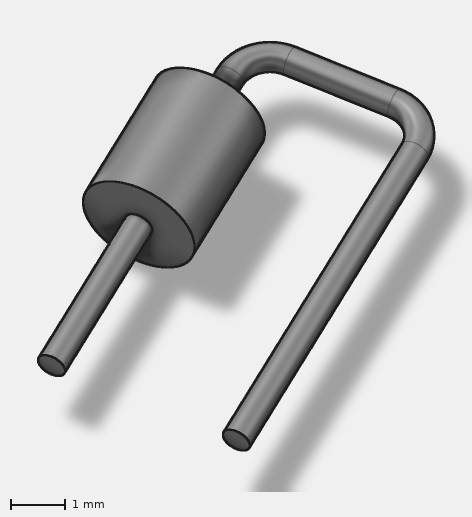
import cadquery as cq

wire_diameter = 0.56
lead_spacing = 3.81
total_length = 8.47
bend_radius = 0.83

body_diameter = 2.3
body_start = 3.6
body_length = 2.905

crossbar_y = total_length - wire_diameter / 2
bend_start_y = crossbar_y - bend_radius


def folded_lead():
    """Wire running up the body axis, across, and back down beside the body."""
    path = (
        cq.Workplane("XY")
        .lineTo(0, bend_start_y)
        .radiusArc((bend_radius, crossbar_y), bend_radius)
        .lineTo(lead_spacing - bend_radius, crossbar_y)
        .radiusArc((lead_spacing, bend_start_y), bend_radius)
        .lineTo(lead_spacing, 0)
    )
    return cq.Workplane("XZ").circle(wire_diameter / 2).sweep(path)


def body():
    """Plain cylindrical body centred on the first straight lead."""
    return (
        cq.Workplane("XZ", origin=(0, body_start, 0))
        .circle(body_diameter / 2)
        .extrude(-body_length)
    )


result = body().union(folded_lead())